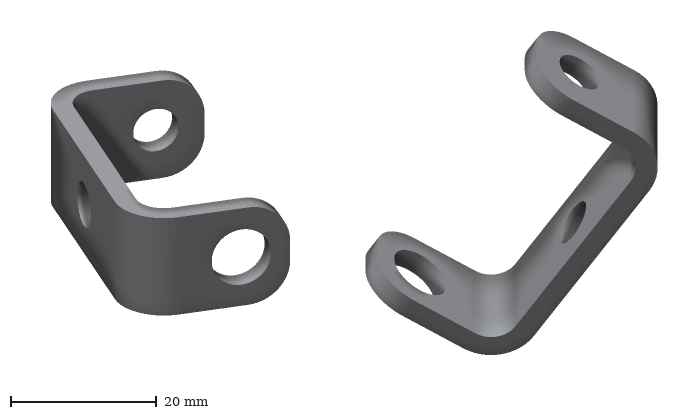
import cadquery as cq

width = 43.0
depth = 23.0
height = 15.0

thickness = 3.0
outer_bend_radius = 7.0
inner_bend_radius = outer_bend_radius - thickness
arm_corner_radius = 6.0

base_hole_diameter = 6.5
left_arm_hole_diameter = 6.5
right_arm_hole_diameter = 8.5
arm_hole_to_tip = 7.0
arm_hole_y = depth - arm_hole_to_tip


def bent_strip():
    """U-shaped strip: base along X at Y = 0, arms reaching toward +Y."""
    outer = (
        cq.Workplane("XY")
        .rect(width, 2 * depth)
        .extrude(height / 2, both=True)
        .edges("|Z")
        .fillet(outer_bend_radius)
    )
    inner = (
        cq.Workplane("XY")
        .rect(width - 2 * thickness, 2 * (depth - thickness))
        .extrude(height / 2, both=True)
        .edges("|Z")
        .fillet(inner_bend_radius)
    )
    front_half = cq.Workplane("XY").box(width, depth, height).translate((0, -depth / 2, 0))
    return outer.cut(inner).intersect(front_half).translate((0, depth, 0))


def arm_hole(diameter, side):
    """Cutter along X through one arm; side is -1 for the left arm, +1 for the right."""
    return (
        cq.Workplane("YZ")
        .center(arm_hole_y, 0)
        .circle(diameter / 2)
        .extrude(side * width / 2)
    )


result = bent_strip()
result = result.faces(">Y").edges("|X").fillet(arm_corner_radius)

result = result.cut(arm_hole(left_arm_hole_diameter, -1))
result = result.cut(arm_hole(right_arm_hole_diameter, 1))
base_hole = cq.Workplane("XZ").circle(base_hole_diameter / 2).extrude(-depth)
result = result.cut(base_hole)